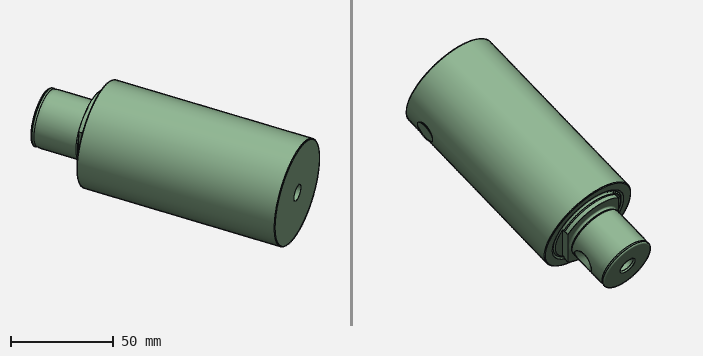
import cadquery as cq


overall_length = 135.0
bore_diameter = 8.5
bore_radius = bore_diameter / 2
bore_chamfer = 0.5
bore_chamfer_length = 1.0
plug_radius = 21.6
plug_length = 20.2

housing_start = 30.0
housing_radius = 55.0 / 2
edge_chamfer = 0.4
mouth_chamfer = 1.1
mouth_depth = 0.5
pad_radius = 5.8
pad_to_end = 14.7

spigot_radius = 15.0
nose_fillet = 1.0
relief_depth = 0.3
nose_relief_bottom = 1.9
nose_relief_end = 3.9
flange_start = 26.0
root_relief_start = 24.2
root_relief_bottom = 24.8
root_fillet = 0.8
flange_radius = 42.0 / 2
flange_land_end = 28.4
neck_start = 29.3
neck_radius = 20.5
across_flats = 32.0
dimple_position = 15.8
dimple_radius = 6.3

shoulder_position = housing_start + mouth_depth
neck_fillet = plug_radius - neck_radius
plug_end = housing_start + plug_length
pad_position = overall_length - pad_to_end


def make_housing():
    """Tube with a socket for the adapter plug and a round pad on the +Y side."""
    mouth_radius = plug_radius + mouth_chamfer
    rim_radius = housing_radius - edge_chamfer
    body = (
        cq.Workplane("XY")
        .moveTo(housing_start, mouth_radius)
        .lineTo(housing_start, rim_radius)
        .lineTo(housing_start + edge_chamfer, housing_radius)
        .lineTo(overall_length - edge_chamfer, housing_radius)
        .lineTo(overall_length, rim_radius)
        .lineTo(overall_length, bore_radius)
        .lineTo(plug_end, bore_radius)
        .lineTo(plug_end, plug_radius)
        .lineTo(shoulder_position, plug_radius)
        .close()
        .revolve(360, (0, 0, 0), (1, 0, 0))
    )
    pad_root = (plug_radius + housing_radius) / 2
    pad = (
        cq.Workplane("XZ", origin=(pad_position, pad_root, 0))
        .circle(pad_radius)
        .extrude(-(housing_radius - pad_root))
    )
    return body.union(pad)


def turn_adapter():
    """Spigot, flange, neck and plug as one turned blank with a through bore."""
    relief_radius = spigot_radius - relief_depth
    return (
        cq.Workplane("XY")
        .moveTo(0, bore_radius + bore_chamfer)
        .lineTo(0, spigot_radius - nose_fillet)
        .radiusArc((nose_fillet, spigot_radius), nose_fillet)
        .lineTo(nose_relief_bottom, relief_radius)
        .lineTo(nose_relief_end, spigot_radius)
        .lineTo(root_relief_start, spigot_radius)
        .lineTo(root_relief_bottom, relief_radius)
        .lineTo(flange_start - root_fillet, relief_radius)
        .radiusArc((flange_start, relief_radius + root_fillet), -root_fillet)
        .lineTo(flange_start, flange_radius)
        .lineTo(flange_land_end, flange_radius)
        .lineTo(neck_start, neck_radius)
        .lineTo(shoulder_position - neck_fillet, neck_radius)
        .radiusArc((shoulder_position, plug_radius), -neck_fillet)
        .lineTo(plug_end, plug_radius)
        .lineTo(plug_end, bore_radius)
        .lineTo(bore_chamfer_length, bore_radius)
        .close()
        .revolve(360, (0, 0, 0), (1, 0, 0))
    )


def cut_wrench_flats(adapter):
    """Two parallel flats on the flange, facing +Y and -Y."""
    flat_length = housing_start - flange_start
    flat_depth = flange_radius - across_flats / 2
    for side in (1, -1):
        cutter = cq.Workplane("XY").box(flat_length, flat_depth, 2 * flange_radius).translate(
            (flange_start + flat_length / 2, side * (across_flats + flat_depth) / 2, 0)
        )
        adapter = adapter.cut(cutter)
    return adapter


def cut_dimple(adapter):
    """Conical dimple in the +Y side of the spigot."""
    cone_height = 2 * dimple_radius
    cone = cq.Solid.makeCone(
        0,
        cone_height,
        cone_height,
        pnt=cq.Vector(dimple_position, spigot_radius - dimple_radius, 0),
        dir=cq.Vector(0, 1, 0),
    )
    spigot_envelope = cq.Workplane("YZ").circle(spigot_radius).extrude(flange_start)
    return adapter.cut(spigot_envelope.intersect(cq.Workplane(cone)))


housing = make_housing()
adapter = cut_dimple(cut_wrench_flats(turn_adapter()))

result = cq.Compound.makeCompound([housing.solids().val(), adapter.solids().val()])